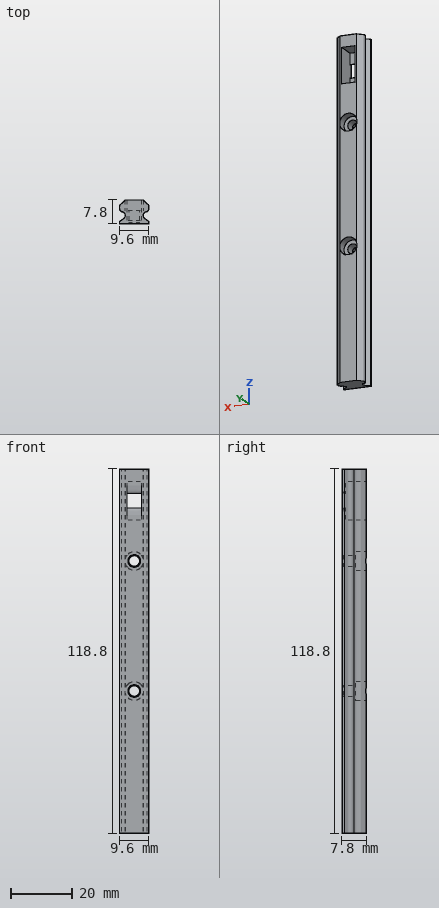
import cadquery as cq
import math

length = 118.8
width = 9.6
height = 7.8
half_width = width / 2

crown_half_width = 2.9
head_bevel_x = 4.5
head_bevel_y = 6.3
head_side_top = 5.7
head_side_bottom = 5.0
groove_top_x = 4.2
groove_top_y = 3.9
waist_half_width = 3.0
waist_y = 2.7
groove_bottom_x = 3.5
groove_bottom_y = 1.8
foot_side_height = 0.7
head_round_inset = 0.2
head_round_drop = 0.7

hole_diameter = 3.5
counterbore_diameter = 6.0
counterbore_depth = 3.6
foot_chamfer = 0.4
first_hole_from_top = 29.9
hole_spacing = 42.4
hole_count = 2

window_width = 4.6
window_height = 9.6
window_from_top = 5.5
lip_depth = 1.1
lip_slope = math.radians(75)
lip_overhang = 2.5
pocket_extra = 1.4


def rail_body():
    """Extrude the symmetric rail profile along Z."""
    head_round_mid = (half_width - head_round_inset, head_side_bottom - head_round_drop)
    half = (
        cq.Workplane("XY")
        .lineTo(half_width, 0)
        .lineTo(half_width, foot_side_height)
        .lineTo(groove_bottom_x, groove_bottom_y)
        .threePointArc((waist_half_width, waist_y), (groove_top_x, groove_top_y))
        .threePointArc(head_round_mid, (half_width, head_side_bottom))
        .lineTo(half_width, head_side_top)
        .tangentArcPoint((head_bevel_x, head_bevel_y), relative=False)
        .lineTo(crown_half_width, height)
        .lineTo(0, height)
        .close()
        .extrude(length)
    )
    return half.union(half.mirror("YZ")).clean()


def mounting_hole(z):
    """Through hole, counterbored from the crown and chamfered at the foot."""
    radius = hole_diameter / 2
    counterbore_floor = height - counterbore_depth
    return (
        cq.Workplane("XY")
        .lineTo(radius + foot_chamfer, 0)
        .lineTo(radius, foot_chamfer)
        .lineTo(radius, counterbore_floor)
        .lineTo(counterbore_diameter / 2, counterbore_floor)
        .lineTo(counterbore_diameter / 2, height)
        .lineTo(0, height)
        .close()
        .revolve(360, (0, 0, 0), (0, 1, 0))
        .translate((0, 0, z))
    )


def window():
    """Opening through the depth with a rounded lip at both ends of its mouth."""
    half_mouth = window_height / 2
    half_throat = half_mouth - lip_overhang
    half_pocket = half_mouth + pocket_extra
    flare_direction = (math.cos(lip_slope), -math.sin(lip_slope))
    crest_direction = (1, 0)
    upper_half = (
        cq.Workplane("YZ", origin=(-window_width / 2, 0, 0))
        .lineTo(0, half_mouth)
        .spline(
            [(lip_depth, half_throat)],
            tangents=[flare_direction, crest_direction],
            includeCurrent=True,
        )
        .lineTo(lip_depth, half_pocket)
        .lineTo(height, half_pocket)
        .lineTo(height, 0)
        .close()
        .extrude(window_width)
    )
    center_z = length - window_from_top - half_mouth
    return upper_half.union(upper_half.mirror("XY")).translate((0, 0, center_z))


result = rail_body().cut(window())
for index in range(hole_count):
    hole_z = length - first_hole_from_top - index * hole_spacing
    result = result.cut(mounting_hole(hole_z))